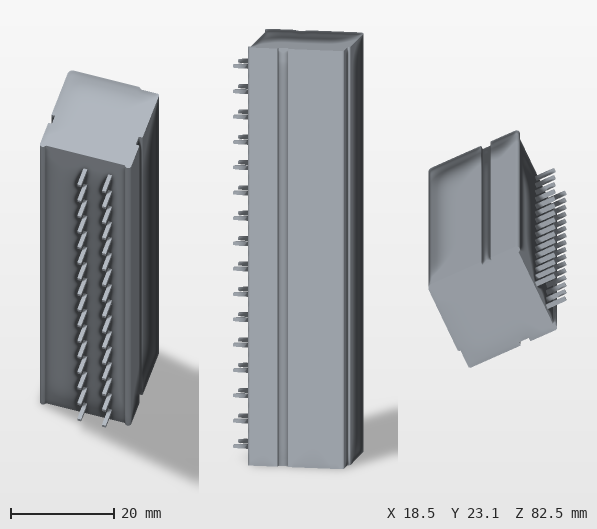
import cadquery as cq
import math

length = 82.5
width = 18.5
depth = 19.5
rear_corner_radius = 1.0

step_width = 4.0
step_depth = 0.5
step_radius = 0.4

foot_radius = 0.62
foot_height = 0.5

groove_depth = 0.75
groove_width = 2.0
groove_front = 5.9
groove_mouth_radius = 0.2

rows = 16
columns = 2
pin_row_span = 75.0
pitch = pin_row_span / (rows - 1)
pin_size = 0.78
pin_protrusion = 3.55
taper_length = 1.2
tip_height = 0.6
bottom_pin_z = 2.9

half_width = width / 2


def make_housing():
    """Block with rounded rear and front corners, standing on Z = 0 with its feet at Y = 0."""
    block = cq.Workplane("XY").box(width, depth, length, centered=(True, False, False))
    block = block.edges("|Z and <X and >Y").fillet(rear_corner_radius)
    return block.edges("|Z and <Y").fillet(foot_radius)


def cut_rear_step(body):
    """Lower the rear face along its right edge and round the two corners of the step."""
    step_x = half_width - step_width
    step_y = depth - step_depth
    step = (
        cq.Workplane("XY")
        .box(step_width, step_depth, length, centered=False)
        .translate((step_x, step_y, 0))
    )
    upper_corner = cq.selectors.NearestToPointSelector((step_x, depth, length / 2))
    side_corner = cq.selectors.NearestToPointSelector((half_width, step_y, length / 2))
    body = body.cut(step)
    body = body.edges(upper_corner).fillet(step_radius)
    return body.edges(side_corner).fillet(step_radius)


def cut_front_recess(body):
    """Sink the front face between the feet, rounding each foot down to the recess floor."""
    crown_x = half_width - foot_radius
    floor_x = crown_x - math.sqrt(foot_radius**2 - (foot_radius - foot_height) ** 2)
    recess = (
        cq.Workplane("XY")
        .moveTo(-crown_x, 0)
        .lineTo(crown_x, 0)
        .radiusArc((floor_x, foot_height), foot_radius)
        .lineTo(-floor_x, foot_height)
        .radiusArc((-crown_x, 0), foot_radius)
        .close()
        .extrude(length)
    )
    return body.cut(recess)


def cut_side_grooves(body):
    """Cut one full-length rectangular groove into each side face and round its mouth."""
    for side in (-1, 1):
        groove = (
            cq.Workplane("XY")
            .box(2 * groove_depth, groove_width, length, centered=(True, False, False))
            .translate((side * half_width, groove_front, 0))
        )
        body = body.cut(groove)
        for mouth_y in (groove_front, groove_front + groove_width):
            mouth_edge = cq.selectors.NearestToPointSelector((side * half_width, mouth_y, length / 2))
            body = body.edges(mouth_edge).fillet(groove_mouth_radius)
    return body


def make_pin(x, z):
    """Square pin rooted in the recessed face, thinned in Z towards its tip."""
    half_size = pin_size / 2
    half_tip = tip_height / 2
    taper_y = taper_length - pin_protrusion
    return (
        cq.Workplane("YZ")
        .polyline([
            (foot_height, -half_size),
            (foot_height, half_size),
            (taper_y, half_size),
            (-pin_protrusion, half_tip),
            (-pin_protrusion, -half_tip),
            (taper_y, -half_size),
        ])
        .close()
        .extrude(half_size, both=True)
        .translate((x, 0, z))
    )


result = make_housing()
result = cut_rear_step(result)
result = cut_front_recess(result)
result = cut_side_grooves(result)
for column in range(columns):
    for row in range(rows):
        result = result.union(make_pin(column * pitch, bottom_pin_z + row * pitch))